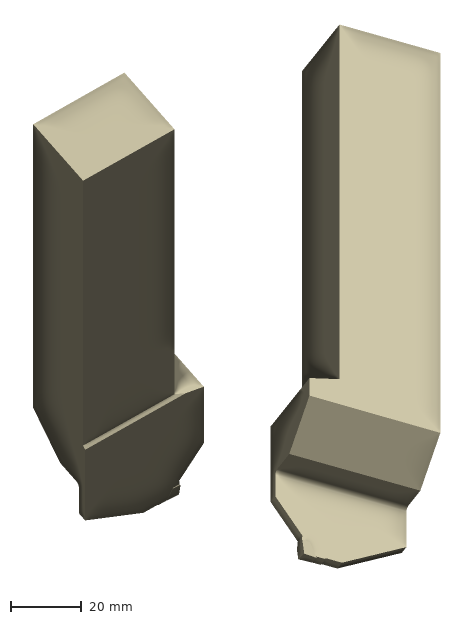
import cadquery as cq

total_height = 171.4
head_depth = 41.1
shank_depth = 31.7
shank_width = 24.7
blade_right = 25.7
blade_left = 22.6
left_face_taper = 0.14

shoulder_z = 46.8
shoulder_drop = 2.5
side_shoulder_drop = 0.9
left_slope_top_z = 38.0
underside_z = 26.4
left_slope_end_x = 13.4
blade_root_radius = 1.5
rear_corner_z = 17.6
front_corner_z = 12.7
blade_bottom_z = 0.9
blade_bottom_front_y = 20.2

stem_front_y = 25.4
stem_top_z = 12.9
stem_top_y = 30.7
stem_bottom_z = 0.5
neck_y = 32.4
neck_z = 6.2
nose_y = 32.7
nose_lower_z = 3.8
edge_y = 32.2
head_top_z = 4.8
head_top_front_y = 30.3
head_bottom_front_y = 28.1
head_left = 22.19
head_right = 26.0
edge_slant = 0.5


def extrude_along_x(points, x_start, x_end):
    """Extrude an outline of (Y, Z) points between two X positions."""
    plane = cq.Workplane("YZ", origin=(x_start, 0, 0))
    return plane.polyline(points).close().extrude(x_end - x_start)


def extrude_along_y(points):
    """Extrude an outline of (X, Z) points over the full depth of the head."""
    return cq.Workplane("XZ").polyline(points).close().extrude(-head_depth)


def make_stem():
    outline = [
        (stem_front_y, stem_bottom_z),
        (stem_front_y, stem_top_z),
        (stem_top_y, stem_top_z),
        (neck_y, neck_z),
        (nose_y, neck_z),
        (nose_y, nose_lower_z),
        (edge_y, stem_bottom_z),
    ]
    return extrude_along_x(outline, blade_left, blade_right)


def make_cutting_head():
    side_shape = extrude_along_x(
        [
            (head_bottom_front_y, 0),
            (head_top_front_y, head_top_z),
            (nose_y, head_top_z),
            (nose_y, nose_lower_z),
            (edge_y, 0),
        ],
        head_left,
        head_right,
    )
    plan_shape = (
        cq.Workplane("XY")
        .polyline([
            (head_left, nose_y),
            (head_right, nose_y),
            (blade_right, head_bottom_front_y),
            (blade_left, head_bottom_front_y),
        ])
        .close()
        .extrude(head_top_z)
    )
    slanted_shape = extrude_along_y([
        (head_left, 0),
        (head_right, edge_slant),
        (head_right, head_top_z),
        (head_left, head_top_z),
    ])
    return side_shape.intersect(plan_shape).intersect(slanted_shape)


def make_insert():
    return make_stem().union(make_cutting_head())


def make_holder(insert):
    side_shape = extrude_along_x(
        [
            (0, total_height),
            (shank_depth, total_height),
            (shank_depth, shoulder_z),
            (head_depth, shoulder_z - shoulder_drop),
            (head_depth, rear_corner_z),
            (neck_y, neck_z),
            (edge_y, blade_bottom_z),
            (blade_bottom_front_y, blade_bottom_z),
            (0, front_corner_z),
        ],
        0,
        blade_right,
    )
    front_shape = extrude_along_y([
        (0, total_height),
        (shank_width, total_height),
        (shank_width, shoulder_z),
        (blade_right, shoulder_z - side_shoulder_drop),
        (blade_right, 0),
        (blade_left, 0),
        (blade_left, underside_z),
        (left_slope_end_x, underside_z),
        (0, left_slope_top_z),
    ])
    root_edge = cq.selectors.NearestToPointSelector((blade_left, head_depth / 2, underside_z))
    front_shape = front_shape.edges("|Y").edges(root_edge).fillet(blade_root_radius)

    taper_wedge = (
        cq.Workplane("XY")
        .polyline([(0, 0), (left_face_taper, 0), (0, head_depth)])
        .close()
        .extrude(total_height)
    )
    return side_shape.intersect(front_shape).cut(taper_wedge).cut(insert)


insert = make_insert()
holder = make_holder(insert)

result = cq.Compound.makeCompound([holder.solids().val(), insert.solids().val()])